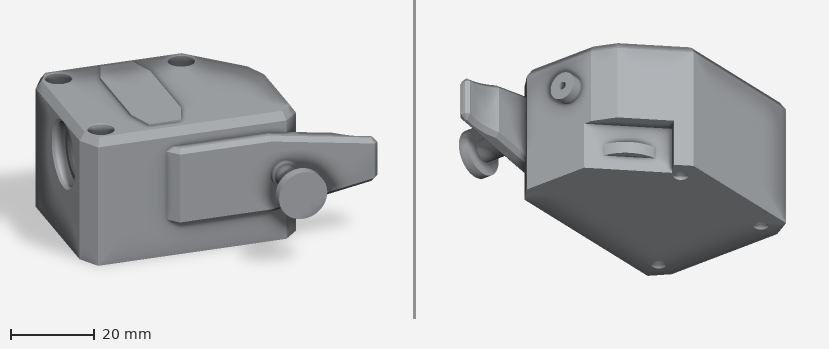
import cadquery as cq
import math

housing_width = 42.0
housing_depth = 54.05
housing_height = 33.0
bevel_inset = 1.4
bevel_height = 2.05
front_corner_x = 5.0
front_corner_y = 2.9
right_corner = 3.65
slope_start_y = 38.6
slope_run = 12.95
shoulder_run = 6.1

screw_spacing = 31.0
screw_inset = 5.5
screw_diameter = 3.6
screw_head_diameter = 6.4
screw_head_depth = 7.3
screw_rim = 0.15

plate_length = 35.2
plate_flat_length = 22.1
plate_width = 12.5
plate_end_width = 8.15
plate_thickness = 0.6
plate_center_y = 20.95

path_x = 25.25
path_z = 22.4
mouth_diameter = 16.0
mouth_depth = 3.2
coupling_diameter = 11.9
lip_depth = 6.6
cavity_diameter = 13.4
cavity_depth = 11.65
guide_diameter = 4.2
guide_depth = 17.45
filament_diameter = 2.05
bore_chamfer = 0.6
post_diameter = 7.0
post_length = 3.1

pocket_start_y = 42.0
pocket_depth = 4.0
pocket_height = 12.0
wheel_radius = 10.55
wheel_x = 19.4
wheel_y = 40.4
wheel_bottom = 3.65
wheel_thickness = 3.0

lever_inner_x = 40.1
lever_outer_x = 44.75
lever_start_y = 22.6
lever_start_rise = 0.9
lever_tip_y = 72.75
lever_tip_inner_x = 41.6
lever_tip_bevel = 0.9
lever_height = 19.9
lever_mid_z = 18.5
lever_taper_y = 45.8
lever_tip_height = 10.85
lever_chamfer = 1.1
thumb_start_y = 62.7
thumb_radius = 13.45

knob_y = 49.0
knob_steps = [(46.1, 7.0), (55.3, 5.75), (55.65, 3.2), (58.2, 12.15)]


def y_cylinder(diameter, start_y, end_y):
    """Cylinder on the filament axis between two Y positions."""
    plane = cq.Workplane("XZ", origin=(path_x, start_y, path_z))
    return plane.circle(diameter / 2).extrude(start_y - end_y)


def y_chamfer_cone(diameter, start_y):
    """Conical edge break that opens a bore of the given diameter at start_y."""
    plane = cq.Workplane("XZ", origin=(path_x, start_y, path_z))
    return plane.circle(diameter / 2 + bore_chamfer).extrude(-bore_chamfer, taper=45)


def make_housing():
    slope_end_y = slope_start_y + slope_run
    outline = [
        (front_corner_x, 0),
        (housing_width - front_corner_x, 0),
        (housing_width, front_corner_y),
        (housing_width, housing_depth - right_corner),
        (housing_width - right_corner, housing_depth),
        (slope_run + shoulder_run, housing_depth),
        (slope_run, slope_end_y),
        (0, slope_start_y),
        (0, front_corner_y),
    ]
    wall_height = housing_height - bevel_height
    walls = cq.Workplane("XY").polyline(outline).close().extrude(wall_height)
    bevel_angle = math.degrees(math.atan2(bevel_inset, bevel_height))
    rim = (
        cq.Workplane("XY", origin=(0, 0, wall_height))
        .polyline(outline).close()
        .extrude(bevel_height, taper=bevel_angle)
    )
    return walls.union(rim)


def make_screw_holes():
    left_x = screw_inset
    right_x = left_x + screw_spacing
    front_y = screw_inset
    rear_y = front_y + screw_spacing
    centers = [(left_x, front_y), (right_x, front_y), (left_x, rear_y)]
    top = cq.Workplane("XY", origin=(0, 0, housing_height)).pushPoints(centers)
    shafts = top.circle(screw_diameter / 2).extrude(-housing_height)
    heads = top.circle(screw_head_diameter / 2).extrude(-screw_head_depth)
    rims = top.circle(screw_head_diameter / 2 + screw_rim).extrude(-screw_rim, taper=45)
    return shafts.union(heads).union(rims)


def make_name_plate():
    half_length = plate_length / 2
    half_flat = plate_flat_length / 2
    half_width = plate_width / 2
    half_end = plate_end_width / 2
    outline = [
        (-half_length, -half_end),
        (-half_flat, -half_width),
        (half_flat, -half_width),
        (half_length, -half_end),
        (half_length, half_end),
        (half_flat, half_width),
        (-half_flat, half_width),
        (-half_length, half_end),
    ]
    plane = cq.Workplane("XY", origin=(housing_width / 2, plate_center_y, housing_height))
    return plane.polyline(outline).close().extrude(plate_thickness)


def make_filament_path():
    path = y_cylinder(filament_diameter, 0, housing_depth + post_length)
    path = path.union(y_cylinder(cavity_diameter, lip_depth, cavity_depth))
    bores = [
        (mouth_diameter, 0, mouth_depth),
        (coupling_diameter, mouth_depth, lip_depth),
        (guide_diameter, cavity_depth, guide_depth),
    ]
    for diameter, start_y, end_y in bores:
        path = path.union(y_cylinder(diameter, start_y, end_y))
        path = path.union(y_chamfer_cone(diameter, start_y))
    return path


def make_wheel_pocket():
    """Pocket with its floor parallel to the 45 degree cut, open to the rear and below."""
    start_x = pocket_start_y - slope_start_y
    step = pocket_depth / math.sqrt(2)
    run = housing_depth - pocket_start_y + pocket_depth
    outline = [
        (start_x, pocket_start_y),
        (start_x + step, pocket_start_y - step),
        (start_x + step + run, pocket_start_y - step + run),
        (start_x, pocket_start_y - step + run),
    ]
    return cq.Workplane("XY").polyline(outline).close().extrude(pocket_height)


def make_wheel():
    plane = cq.Workplane("XY", origin=(wheel_x, wheel_y, wheel_bottom))
    return plane.circle(wheel_radius).extrude(wheel_thickness)


def is_taper_ridge(edge):
    """True for the edges across the lever, along X, where its taper starts."""
    box = edge.BoundingBox()
    return box.ylen < 0.01 and abs(box.center.y - lever_taper_y) < 0.01


def make_lever():
    start_inner_y = lever_start_y - lever_start_rise * (lever_outer_x - lever_inner_x)
    bottom_z = lever_mid_z - lever_height / 2
    profile = (
        cq.Workplane("XY", origin=(0, 0, bottom_z))
        .moveTo(lever_inner_x, start_inner_y)
        .lineTo(lever_outer_x, lever_start_y)
        .lineTo(lever_outer_x, lever_tip_y - lever_chamfer)
        .lineTo(lever_outer_x - lever_chamfer, lever_tip_y)
        .lineTo(lever_tip_inner_x + lever_tip_bevel, lever_tip_y)
        .lineTo(lever_tip_inner_x, lever_tip_y - lever_tip_bevel)
        .radiusArc((lever_inner_x, thumb_start_y), thumb_radius)
        .close()
        .extrude(lever_height)
    )
    half_height = lever_height / 2
    half_tip = lever_tip_height / 2
    side_outline = [
        (start_inner_y, -half_height),
        (lever_taper_y, -half_height),
        (lever_tip_y, -half_tip),
        (lever_tip_y, half_tip),
        (lever_taper_y, half_height),
        (start_inner_y, half_height),
    ]
    side = (
        cq.Workplane("YZ", origin=(lever_inner_x, 0, lever_mid_z))
        .polyline(side_outline).close()
        .extrude(lever_outer_x - lever_inner_x)
    )
    lever = profile.intersect(side)
    rim = lever.edges("not |Z").filter(lambda edge: not is_taper_ridge(edge))
    return rim.chamfer(lever_chamfer)


def make_knob():
    knob = cq.Workplane("YZ", origin=(lever_outer_x, knob_y, lever_mid_z))
    start_x = lever_outer_x
    for end_x, diameter in knob_steps:
        plane = cq.Workplane("YZ", origin=(start_x, knob_y, lever_mid_z))
        knob = knob.add(plane.circle(diameter / 2).extrude(end_x - start_x))
        start_x = end_x
    return knob.combine()


post = y_cylinder(post_diameter, housing_depth, housing_depth + post_length)

result = (
    make_housing()
    .cut(make_wheel_pocket())
    .union(make_wheel())
    .union(make_name_plate())
    .union(post)
    .union(make_lever())
    .union(make_knob())
    .cut(make_screw_holes())
    .cut(make_filament_path())
)